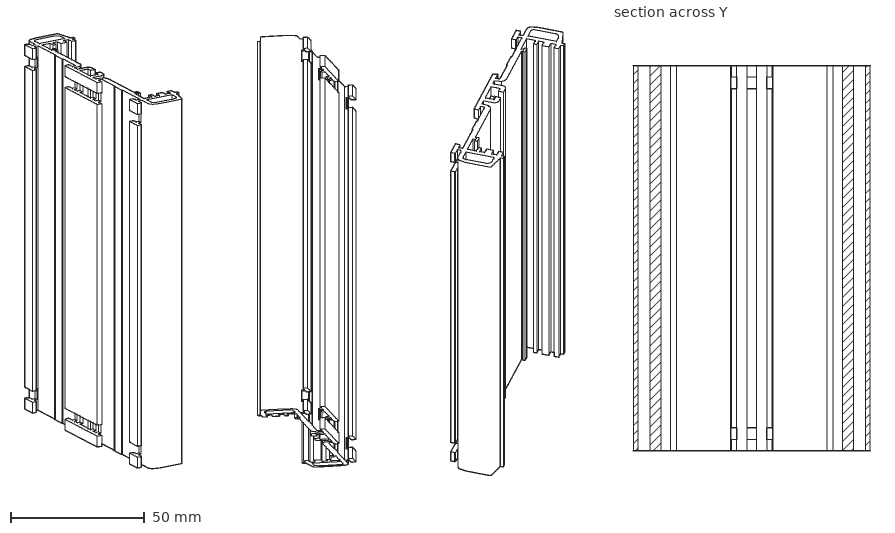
import cadquery as cq

LENGTH = 144.0
WIDTH = 88.5
HEIGHT = 19.9
HALF_WIDTH = WIDTH / 2

WALL_INNER_X = 36.1
WALL_OUTER_X = 38.0
LIP_OUTER_X = 37.6
ROOF_INNER_Y = 18.7
ROOF_OUTER_Y = 17.1
ROOF_EDGE_RADIUS = 0.9
SKIN_THICKNESS = 1.9
HOLLOW_TOP_Y = 16.4
HOLLOW_TOP_RADIUS = 1.9
HOLLOW_BOTTOM_RADIUS = 1.2
SKIN_TAPER_Y = 7.3
SKIN_TAPER = 0.5
SKIN_CORNER_Y = 4.9
SKIN_CORNER_X = 41.9
SKIN_CORNER_MID = (43.0, 3.9)

TOOTH_TIP_X = 33.8
TEETH = [(8.8, 10.1), (12.1, 14.8), (16.8, 18.7)]

WEB_BOTTOM_Y = 3.5
WEB_THIN_TOP_Y = 5.3
WEB_THICK_TOP_Y = 5.9
WEB_STEP_X = 29.1
UNDERSIDE_FILLET = 0.6
PAD_INNER_X = 18.5
PAD_OUTER_X = 23.8
PAD_BOTTOM_Y = 3.2

RIB_TOP_Y = 7.3
RIB_HEAD_BOTTOM_Y = 6.3
RIB_HEAD_INNER_X = 28.1
RIB_HEAD_OUTER_X = 30.4
RIB_NECK_INNER_X = 28.5
RIB_NECK_OUTER_X = 29.5

FOOT_THICKNESS = 1.9
PLATE_TOP_HALF_WIDTH = 11.8
PLATE_BOTTOM_HALF_WIDTH = 11.4
FLANGE_INNER_X = 34.3
FLANGE_OUTER_X = 40.0
FLANGE_CHAMFER = 0.3

LEG_OUTER_X = 9.2
LEG_INNER_X = 7.5
LEG_SHOULDER = (7.9, 4.5)
LEG_SHOULDER_MID = (8.8, 5.5)
LEG_SHOULDER_END_X = 10.4

HOOK_OUTER_X = 5.6
HOOK_INNER_X = 3.6
HOOK_TIP_X = 1.7
HOOK_TOP_Y = 7.3
HOOK_LIP_Y = 5.3
HOOK_CORNER_RADIUS = 1.7

NOTCH_OFFSET = 4.3
NOTCH_LENGTH = 4.3
NOTCH_TOP_Y = 3.0


def extrude_outline(points):
    return cq.Workplane("XY").polyline(points).close().extrude(LENGTH)


def bar(x_min, x_max, y_min, y_max):
    """Full-length rectangular bar."""
    return extrude_outline([(x_min, y_min), (x_max, y_min), (x_max, y_max), (x_min, y_max)])


def underside_fillet(face_x):
    """Fillet between the web underside and an outward face that hangs from it."""
    end_x = face_x + UNDERSIDE_FILLET
    end_y = WEB_BOTTOM_Y - UNDERSIDE_FILLET
    square = bar(face_x, end_x, end_y, WEB_BOTTOM_Y)
    round_cut = cq.Workplane("XY").center(end_x, end_y).circle(UNDERSIDE_FILLET).extrude(LENGTH)
    return square.cut(round_cut)


def central_plate():
    """Plate under the middle, with side edges that lean outward toward the top."""
    return extrude_outline([
        (-PLATE_BOTTOM_HALF_WIDTH, 0),
        (PLATE_BOTTOM_HALF_WIDTH, 0),
        (PLATE_TOP_HALF_WIDTH, FOOT_THICKNESS),
        (-PLATE_TOP_HALF_WIDTH, FOOT_THICKNESS),
    ])


def side_channel():
    body = (
        cq.Workplane("XY")
        .moveTo(WALL_INNER_X, WEB_BOTTOM_Y)
        .lineTo(SKIN_CORNER_X, WEB_BOTTOM_Y)
        .threePointArc(SKIN_CORNER_MID, (HALF_WIDTH - SKIN_TAPER, SKIN_CORNER_Y))
        .lineTo(HALF_WIDTH, SKIN_TAPER_Y)
        .lineTo(HALF_WIDTH, ROOF_OUTER_Y)
        .lineTo(LIP_OUTER_X, ROOF_INNER_Y)
        .lineTo(LIP_OUTER_X, HEIGHT)
        .lineTo(WALL_INNER_X, HEIGHT)
        .close()
        .extrude(LENGTH)
    )
    roof_edge = cq.selectors.NearestToPointSelector((HALF_WIDTH, ROOF_OUTER_Y, LENGTH / 2))
    body = body.edges(roof_edge).fillet(ROOF_EDGE_RADIUS)

    hollow_outer_x = HALF_WIDTH - SKIN_THICKNESS
    hollow = bar(WALL_OUTER_X, hollow_outer_x, WEB_THIN_TOP_Y, HOLLOW_TOP_Y)
    hollow = hollow.edges("|Z and >X and >Y").fillet(HOLLOW_TOP_RADIUS)
    hollow = hollow.edges("|Z and >X and <Y").fillet(HOLLOW_BOTTOM_RADIUS)
    return body.cut(hollow)


def wall_teeth():
    teeth = cq.Workplane("XY")
    for bottom_y, top_y in TEETH:
        teeth = teeth.add(bar(TOOTH_TIP_X, WALL_OUTER_X, bottom_y, top_y))
    return teeth.combine()


def floor_web():
    """Floor from the inner wall to the central plate, ending in the sloping leg."""
    web = (
        cq.Workplane("XY")
        .moveTo(WALL_OUTER_X, WEB_BOTTOM_Y)
        .lineTo(WALL_OUTER_X, WEB_THIN_TOP_Y)
        .lineTo(WEB_STEP_X, WEB_THIN_TOP_Y)
        .lineTo(WEB_STEP_X, WEB_THICK_TOP_Y)
        .lineTo(LEG_SHOULDER_END_X, WEB_THICK_TOP_Y)
        .threePointArc(LEG_SHOULDER_MID, LEG_SHOULDER)
        .lineTo(LEG_INNER_X, FOOT_THICKNESS)
        .lineTo(LEG_INNER_X, 0)
        .lineTo(LEG_OUTER_X, 0)
        .lineTo(LEG_OUTER_X, WEB_BOTTOM_Y)
        .close()
        .extrude(LENGTH)
    )
    web = web.union(underside_fillet(LEG_OUTER_X))
    return web.union(bar(PAD_INNER_X, PAD_OUTER_X, PAD_BOTTOM_Y, WEB_THICK_TOP_Y))


def hooked_rib():
    return extrude_outline([
        (RIB_HEAD_INNER_X, WEB_BOTTOM_Y),
        (RIB_HEAD_INNER_X, WEB_THICK_TOP_Y),
        (RIB_NECK_INNER_X, RIB_HEAD_BOTTOM_Y),
        (RIB_HEAD_INNER_X, RIB_HEAD_BOTTOM_Y),
        (RIB_HEAD_INNER_X, RIB_TOP_Y),
        (RIB_HEAD_OUTER_X, RIB_TOP_Y),
        (RIB_HEAD_OUTER_X, RIB_HEAD_BOTTOM_Y),
        (RIB_NECK_OUTER_X, RIB_HEAD_BOTTOM_Y),
        (RIB_NECK_OUTER_X, WEB_BOTTOM_Y),
    ])


def side_foot():
    """Flange under the inner wall, with the stem that carries it."""
    stem = bar(WALL_INNER_X, LIP_OUTER_X, 0, WEB_THIN_TOP_Y)
    flange = bar(FLANGE_INNER_X, FLANGE_OUTER_X, 0, FOOT_THICKNESS)
    flange = flange.edges("|Z and >Y").chamfer(FLANGE_CHAMFER)
    return stem.union(flange).union(underside_fillet(LIP_OUTER_X))


def slot_hook():
    post = bar(HOOK_TIP_X, HOOK_OUTER_X, 0, HOOK_TOP_Y)
    post = post.edges("|Z and >X and >Y").fillet(HOOK_CORNER_RADIUS)
    return post.cut(bar(HOOK_TIP_X, HOOK_INNER_X, 0, HOOK_LIP_Y))


def foot_notch(z_start):
    """Cutter across the full width, from the bottom of the feet up to the notch top."""
    notch = cq.Workplane("XY").box(WIDTH, NOTCH_TOP_Y, NOTCH_LENGTH, centered=(True, False, False))
    return notch.translate((0, 0, z_start))


half = side_channel()
for piece in (wall_teeth(), floor_web(), hooked_rib(), side_foot(), slot_hook()):
    half = half.union(piece)

result = central_plate().union(half).union(half.mirror("YZ"))

for notch_start in (NOTCH_OFFSET, LENGTH - NOTCH_OFFSET - NOTCH_LENGTH):
    result = result.cut(foot_notch(notch_start))